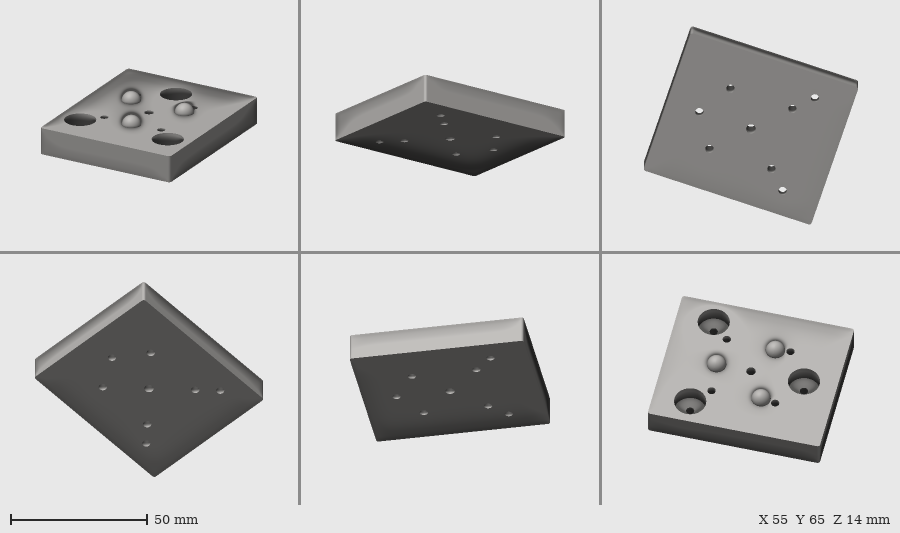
import cadquery as cq
import math

plate_width = 55.0
plate_length = 65.0
total_height = 14.0
ball_radius = 3.6
plate_height = total_height - ball_radius
corner_radius = 1.0

ball_circle_radius = 13.0
ball_angles = (30, 150, 270)

center_hole_diameter = 3.5
square_hole_diameter = 3.05
square_hole_spacing = 24.05

screw_hole_diameter = 3.0
counterbore_diameter = 11.8
counterbore_depth = 6.0
back_screw_y = 20.0
front_screw_offset = 18.5
screw_points = [
    (0, back_screw_y),
    (-front_screw_offset, -front_screw_offset),
    (front_screw_offset, -front_screw_offset),
]


def make_plate():
    plate = cq.Workplane("XY").box(plate_width, plate_length, plate_height, centered=(True, True, False))
    return plate.edges("|Z").fillet(corner_radius)


def drill_holes(plate):
    top = plate.faces(">Z").workplane(origin=(0, 0, plate_height))
    plate = top.hole(center_hole_diameter)

    top = plate.faces(">Z").workplane(origin=(0, 0, plate_height))
    square = top.rect(square_hole_spacing, square_hole_spacing, forConstruction=True)
    plate = square.vertices().hole(square_hole_diameter)

    top = plate.faces(">Z").workplane(origin=(0, 0, plate_height))
    screws = top.pushPoints(screw_points)
    return screws.cboreHole(screw_hole_diameter, counterbore_diameter, counterbore_depth)


def add_balls(plate):
    for angle in ball_angles:
        x = ball_circle_radius * math.cos(math.radians(angle))
        y = ball_circle_radius * math.sin(math.radians(angle))
        ball = cq.Workplane("XY").sphere(ball_radius).translate((x, y, plate_height))
        plate = plate.union(ball)
    return plate


result = add_balls(drill_holes(make_plate()))